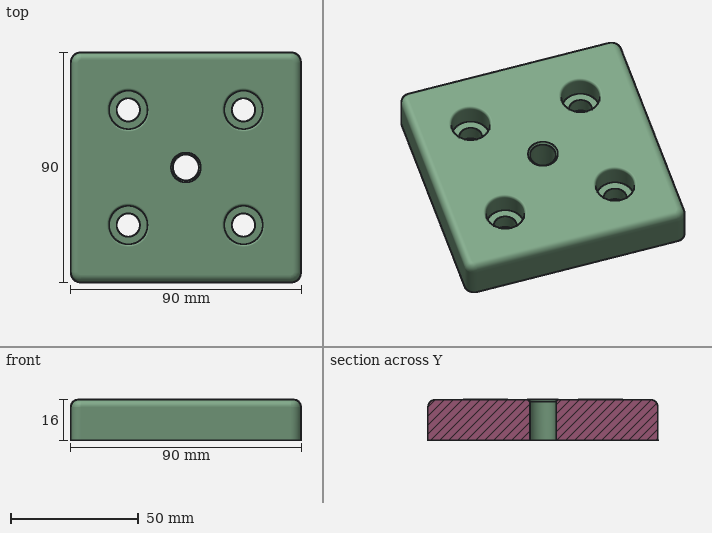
import cadquery as cq

side = 90.0
thickness = 16.0
corner_radius = 4.0
top_edge_radius = 3.0

hole_spacing = side / 2
hole_diameter = 9.0
counterbore_diameter = 15.0
counterbore_depth = 9.0
counterbore_edge_radius = 1.0

center_diameter = 10.1
center_chamfer = 0.8

selection_margin = 0.45


def rounded_plate():
    """Square plate standing on Z = 0, rounded on its upright and top edges."""
    plate = cq.Workplane("XY").rect(side, side).extrude(thickness)
    plate = plate.edges("|Z").fillet(corner_radius)
    return plate.faces(">Z").edges().fillet(top_edge_radius)


def cut_bore(body, center, diameter, depth):
    """Cut a cylinder down from the top face."""
    cutter = cq.Workplane("XY", origin=(*center, thickness)).circle(diameter / 2).extrude(-depth)
    return body.cut(cutter)


def mouth_edge(body, center, diameter):
    """Select the circle where the bore at the given center meets the top face."""
    reach = diameter / 2 + selection_margin
    x, y = center
    mouth_box = cq.selectors.BoxSelector(
        (x - reach, y - reach, thickness - selection_margin),
        (x + reach, y + reach, thickness + selection_margin),
        boundingbox=True,
    )
    return body.edges(mouth_box)


result = rounded_plate()

plate_center = (0, 0)
result = cut_bore(result, plate_center, center_diameter, thickness)
result = mouth_edge(result, plate_center, center_diameter).chamfer(center_chamfer)

for x in (-hole_spacing / 2, hole_spacing / 2):
    for y in (-hole_spacing / 2, hole_spacing / 2):
        result = cut_bore(result, (x, y), hole_diameter, thickness)
        result = cut_bore(result, (x, y), counterbore_diameter, counterbore_depth)
        result = mouth_edge(result, (x, y), counterbore_diameter).fillet(counterbore_edge_radius)